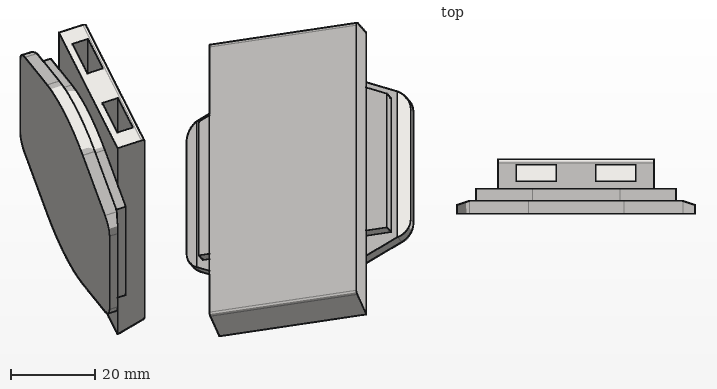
import cadquery as cq
import math

plate_thickness = 3.1
boss_thickness = 2.9
block_thickness = 7.0
plate_back = plate_thickness
boss_back = plate_back + boss_thickness
block_back = boss_back + block_thickness

plate_width = 56.7
plate_height = 55.75
shoulder_angle = 24.5
crown_radius = 27.3
corner_radius = 5.0

bevel_width = 3.0
bevel_depth = 1.0

boss_inset = 2.1
boss_width = 47.6
boss_height = 43.2

block_width = 37.2
block_height = 73.42
block_rise = 6.2
block_bottom_angle = 22.0
block_edge_radius = 0.9

pocket_width = 9.5
pocket_thickness = 4.0
pocket_spacing = 19.0
pocket_back_wall = 1.3
pocket_depth = 20.0
pocket_floor_angle = 45.0

slope = math.tan(math.radians(shoulder_angle))
plate_top = plate_height / 2
block_top = plate_top + block_rise
block_bottom = block_top - block_height


def apex_height(crown_top, radius):
    """Height where two shoulders would meet above a crown arc tangent to both."""
    return crown_top + radius * (1 / math.cos(math.radians(shoulder_angle)) - 1)


def prism(points, y_front, thickness):
    """Extrude a closed X-Z outline backward (+Y) from y_front."""
    outline = cq.Workplane("XZ", origin=(0, y_front, 0)).polyline(points).close()
    return outline.extrude(-thickness)


def make_plate():
    half_width = plate_width / 2
    apex = apex_height(plate_top, crown_radius)
    shoulder = apex - half_width * slope
    outline = [
        (0, apex), (half_width, shoulder), (half_width, -shoulder),
        (0, -apex), (-half_width, -shoulder), (-half_width, shoulder),
    ]
    plate = prism(outline, 0, plate_thickness)
    plate = plate.edges("|Y").edges("<Z or >Z").fillet(crown_radius)
    plate = plate.edges("|Y").edges("<X or >X").fillet(corner_radius)
    for side in (-1, 1):
        bevel = (
            cq.Workplane("XY")
            .polyline([
                (side * half_width, plate_back),
                (side * (half_width - bevel_width), plate_back),
                (side * half_width, plate_back - bevel_depth),
            ])
            .close()
            .extrude(plate_height / 2, both=True)
        )
        plate = plate.cut(bevel)
    return plate


def make_boss():
    half_width = boss_width / 2
    top = plate_top - boss_inset
    bottom = top - boss_height
    radius = crown_radius - boss_inset
    apex = apex_height(top, radius)
    shoulder = apex - half_width * slope
    outline = [
        (0, apex), (half_width, shoulder), (half_width, bottom),
        (-half_width, bottom), (-half_width, shoulder),
    ]
    boss = prism(outline, plate_back, boss_thickness)
    return boss.edges("|Y").edges(">Z").fillet(radius)


def make_pocket(center_x):
    """Cutter for one pocket, centred on center_x."""
    back = block_back - pocket_back_wall
    front = back - pocket_thickness
    floor_back = block_top - pocket_depth
    floor_front = floor_back + pocket_thickness * math.tan(math.radians(pocket_floor_angle))
    return (
        cq.Workplane("YZ", origin=(center_x, 0, 0))
        .polyline([
            (front, block_top),
            (front, floor_front),
            (back, floor_back),
            (back, block_top),
        ])
        .close()
        .extrude(pocket_width / 2, both=True)
    )


def make_block():
    bottom_rise = block_thickness * math.tan(math.radians(block_bottom_angle))
    block = (
        cq.Workplane("YZ")
        .polyline([
            (boss_back, block_bottom),
            (boss_back, block_top),
            (block_back, block_top),
            (block_back, block_bottom + bottom_rise),
        ])
        .close()
        .extrude(block_width / 2, both=True)
    )
    block = block.faces(">Y").edges("|X").fillet(block_edge_radius)
    for side in (-1, 1):
        block = block.cut(make_pocket(side * pocket_spacing / 2))
    return block


face_plate = make_plate().union(make_boss())
block = make_block()

result = cq.Compound.makeCompound([face_plate.val(), block.val()])